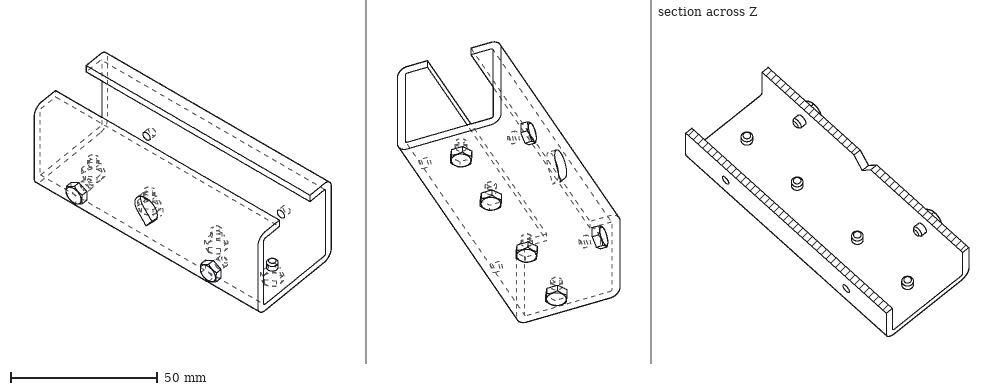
import cadquery as cq
import math

length = 100.0
width = 38.8
height = 37.0
wall = 3.0
outer_bend = 3.8
inner_bend = outer_bend - wall
slot_width = 16.2

thread_diameter = 4.0
shank_length = 6.0
tip_diameter = 2.6
tip_length = 0.8
head_sides = 6
head_across_flats = 7.0
head_height = 2.8
head_chamfer_angle = 30.0
head_face_diameter = 6.7

floor_screw_x = (-40.0, -15.0, 15.0, 40.0)
side_screw_x = (-30.0, 30.0)
side_screw_z = 10.0
tapping_diameter = 3.24

teardrop_radius = 5.0
teardrop_z = 20.0
teardrop_drop = 8.0


def rounded_bar(bar_width, bar_height, bend):
    """Bar along X with rounded long edges, resting on Z = 0."""
    bar = cq.Workplane("XY").box(length, bar_width, bar_height, centered=(True, True, False))
    return bar.edges("|X").fillet(bend)


def make_channel():
    """Rounded box section with a lengthwise slot in its top."""
    outside = rounded_bar(width, height, outer_bend)
    inside = rounded_bar(width - 2 * wall, height - 2 * wall, inner_bend)
    slot = cq.Workplane("XY").box(length, slot_width, height, centered=(True, True, False))
    return outside.cut(inside.translate((0, 0, wall))).cut(slot.translate((0, 0, height / 2)))


def make_screw():
    """Screw with its shank along +Z, its head below Z = 0 and two head corners on the Y axis."""
    across_corners = head_across_flats / math.cos(math.pi / head_sides)
    head = (
        cq.Workplane("XY")
        .polygon(head_sides, across_corners)
        .extrude(-head_height)
        .rotate((0, 0, 0), (0, 0, 1), 90)
    )

    face_radius = head_face_diameter / 2
    cone_spread = head_height / math.tan(math.radians(head_chamfer_angle))
    cone = (
        cq.Workplane("XZ")
        .moveTo(0, -head_height)
        .lineTo(face_radius, -head_height)
        .lineTo(face_radius + cone_spread, 0)
        .lineTo(0, 0)
        .close()
        .revolve(360, (0, 0), (0, 1))
    )

    thread_radius = thread_diameter / 2
    tip_radius = tip_diameter / 2
    shank = (
        cq.Workplane("XZ")
        .lineTo(thread_radius, 0)
        .lineTo(thread_radius, shank_length - tip_length)
        .lineTo(tip_radius, shank_length)
        .lineTo(0, shank_length)
        .close()
        .revolve(360, (0, 0), (0, 1))
    )
    return head.intersect(cone).union(shank)


def make_teardrop():
    """Cutter through the front wall: a circle closed by two tangent lines to a point."""
    tangent_angle = math.asin(teardrop_radius / teardrop_drop)
    tangent_x = teardrop_radius * math.cos(tangent_angle)
    tangent_z = teardrop_z - teardrop_radius * math.sin(tangent_angle)
    return (
        cq.Workplane("XZ", origin=(0, -width / 2 + wall, 0))
        .moveTo(0, teardrop_z - teardrop_drop)
        .lineTo(tangent_x, tangent_z)
        .threePointArc((0, teardrop_z + teardrop_radius), (-tangent_x, tangent_z))
        .close()
        .extrude(wall)
    )


def make_tapping_holes():
    """Cutters through the back (+Y) wall, opposite the side screws."""
    return (
        cq.Workplane("XZ", origin=(0, width / 2, 0))
        .pushPoints([(x, side_screw_z) for x in side_screw_x])
        .circle(tapping_diameter / 2)
        .extrude(wall)
    )


result = make_channel().cut(make_teardrop()).cut(make_tapping_holes())

floor_screw = make_screw()
for x in floor_screw_x:
    result = result.union(floor_screw.translate((x, 0, 0)))

side_screw = make_screw().rotate((0, 0, 0), (1, 0, 0), -90)
for x in side_screw_x:
    result = result.union(side_screw.translate((x, -width / 2, side_screw_z)))